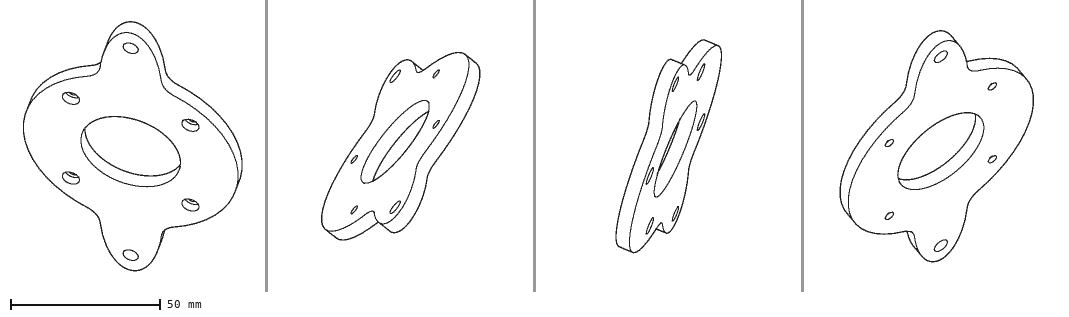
import cadquery as cq

overall_height = 124.0
thickness = 5.0
disc_diameter = 75.0
ear_half_width = 10.9
ear_half_length = 26.8
ear_root_radius = 7.5

bore_diameter = 34.7
ear_hole_diameter = 5.2
ear_hole_offset = 54.0
screw_hole_diameter = 3.2
counterbore_diameter = 6.0
counterbore_depth = 3.0
screw_spacing = 41.7

ear_center_offset = overall_height / 2 - ear_half_length


def make_ear(side):
    """Elliptical ear at the top (side = 1) or bottom (side = -1)."""
    center_z = side * ear_center_offset
    return (
        cq.Workplane("XZ")
        .center(0, center_z)
        .ellipse(ear_half_width, ear_half_length)
        .extrude(thickness)
    )


def make_plate():
    """Disc with two ears, blended where the ears leave the rim. The front face is at Y = -thickness."""
    plate = cq.Workplane("XZ").circle(disc_diameter / 2).extrude(thickness)
    for side in (1, -1):
        plate = plate.union(make_ear(side))
    root_edges = cq.selectors.BoxSelector(
        (-disc_diameter / 4, -0.75 * thickness, -overall_height / 2),
        (disc_diameter / 4, -0.25 * thickness, overall_height / 2),
    )
    return plate.edges(root_edges).fillet(ear_root_radius)


def cut_holes(plate):
    """Central bore, one hole per ear and four screw holes counterbored from the front."""
    front = plate.faces("<Y").workplane(origin=(0, -thickness, 0))
    plate = front.circle(bore_diameter / 2).cutThruAll()
    plate = (
        plate.faces("<Y").workplane(origin=(0, -thickness, 0))
        .pushPoints([(0, ear_hole_offset), (0, -ear_hole_offset)])
        .hole(ear_hole_diameter)
    )
    return (
        plate.faces("<Y").workplane(origin=(0, -thickness, 0))
        .rect(screw_spacing, screw_spacing, forConstruction=True)
        .vertices()
        .cboreHole(screw_hole_diameter, counterbore_diameter, counterbore_depth)
    )


result = cut_holes(make_plate())